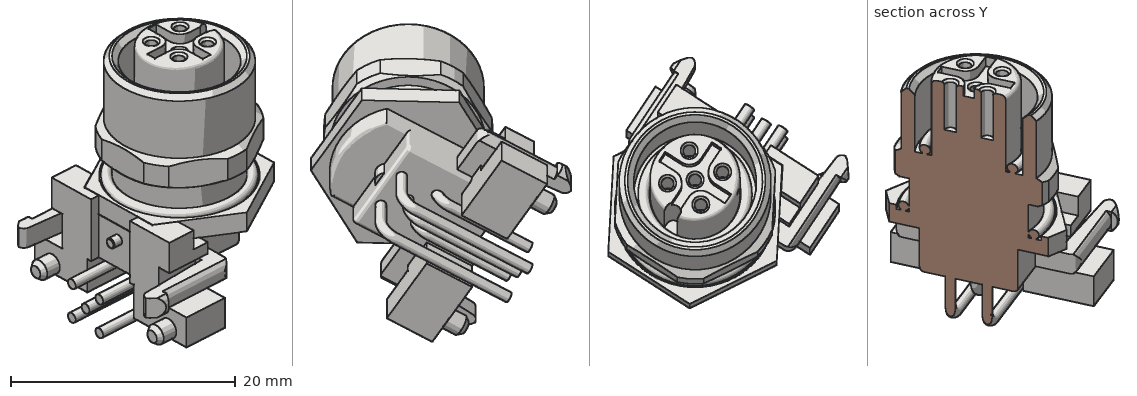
import cadquery as cq
import math


plate_across_flats = 15.0
plate_thickness = 2.0
total_depth = 19.49
plate_clearance = 0.05
seal_groove_radius = 7.15
seal_groove_depth = 0.45
seal_ring_radius = 6.5
ring_section_radius = 0.5

neck_radius = 6.01
collar_bottom = 3.0
collar_top = 6.0
collar_across_flats = 14.0
collar_radius = 7.5
collar_chamfer_angle = math.radians(30)
collar_upper_chamfer = 0.75
collar_lower_chamfer = 0.6
sleeve_radius = 6.75
sleeve_top = 12.5
sleeve_chamfer = 0.5
bore_radius = 5.45
bore_floor = collar_top
bore_chamfer = 0.55

insert_radius = 4.0
insert_top = 14.0
insert_edge_radius = 0.5
inner_ring_radius = 4.57
inner_ring_press = 0.05
contact_circle_radius = 2.5
contact_offset = contact_circle_radius / math.sqrt(2)
contact_hole_radius = 0.55
contact_hole_mouth_radius = 0.77
contact_hole_depth = 5.0
cross_width = 1.0
cross_depth = 1.0
cross_half_length = insert_radius - insert_edge_radius
cross_corner_radius = contact_offset - cross_width / 2
key_width = 1.38
key_tip = 2.85

housing_half_width = 4.75
housing_back_radius = 7.0
housing_front = -plate_across_flats / 2 - plate_clearance
shoulder_bottom = -4.0
housing_bottom = -6.5
housing_back = 2.95
housing_edge_radius = 0.5
housing_corner_radius = 0.3
rib_radius = 1.0
rib_reach = 0.35
rib_bottom = -5.5
stud_radius = 0.5
stud_z = -3.5
stud_length = 1.0
stud_chamfer = 0.08

block_front = -8.5
block_back = -3.75
block_upper_back = -5.5
block_half_width = 7.55
block_shelf_bottom = -3.2
block_waist_half_width = 6.2
foot_top = -6.85
foot_bottom = -10.0
foot_half_width = 9.75
window_half_width = 2.5
leg_gap_half_width = 2.97
peg_x = 7.47
peg_z = -9.0
peg_radius = 0.98
peg_end = -10.55
peg_chamfer_length = 0.5
peg_chamfer_radial = 0.37

arm_top = -4.0
arm_bottom = -6.05
arm_back = -2.2
arm_bridge_front = -4.0
arm_inner_root = 7.0
arm_inner_tip = 7.52
arm_outer = 8.87
arm_corner_radius = 0.9
arm_crown = 0.5
arm_crown_flat = 0.08
hook_outer = 9.37
hook_back = -10.1
hook_edge_back = -10.3
hook_edge_front = -10.65
arm_tip = plate_across_flats / 2 - total_depth
nose_start = -11.35
nose_x = 8.15
nose_bevel_x = 8.47
nose_bevel_y = -11.77

pin_radius = 0.5
pin_bend_radius = 1.5
pin_end = -11.58
pin_middle_z = -9.0

arc_middle_inset = 1 - math.sqrt(0.5)


def box(x_min, x_max, y_min, y_max, z_min, z_max):
    size = (x_max - x_min, y_max - y_min, z_max - z_min)
    return cq.Workplane("XY").box(*size, centered=False).translate((x_min, y_min, z_min))


def cylinder(radius, z_min, z_max):
    return cq.Workplane("XY").workplane(offset=z_min).circle(radius).extrude(z_max - z_min)


def rod_toward_front(x, z, radius, y_start, y_end):
    """Round rod along -Y."""
    rod = cq.Workplane("XZ", origin=(x, y_start, z)).circle(radius)
    return rod.extrude(y_start - y_end)


def hexagon(across_flats, z_min, z_max):
    """Hexagonal prism with corners on the X axis."""
    across_corners = across_flats / math.cos(math.pi / 6)
    return cq.Workplane("XY").workplane(offset=z_min).polygon(6, across_corners).extrude(z_max - z_min)


def ring(centre_radius, z):
    """Sealing ring of round section."""
    section = cq.Workplane("XZ", origin=(0, 0, z)).center(centre_radius, 0).circle(ring_section_radius)
    return section.revolve(360, (-centre_radius, 0), (-centre_radius, 1))


def both_sides(half):
    return half.union(half.mirror("YZ"))


def make_plate():
    plate = hexagon(plate_across_flats, -plate_thickness, 0)
    plate = plate.cut(cylinder(seal_groove_radius, -seal_groove_depth, 0))
    return plate.union(ring(seal_ring_radius, 0))


def make_collar():
    upper_drop = collar_upper_chamfer * math.tan(collar_chamfer_angle)
    lower_rise = collar_lower_chamfer * math.tan(collar_chamfer_angle)
    turned = (
        cq.Workplane("XZ")
        .moveTo(0, collar_bottom)
        .lineTo(collar_radius - collar_lower_chamfer, collar_bottom)
        .lineTo(collar_radius, collar_bottom + lower_rise)
        .lineTo(collar_radius, collar_top - upper_drop)
        .lineTo(collar_radius - collar_upper_chamfer, collar_top)
        .lineTo(0, collar_top)
        .close()
        .revolve(360, (0, 0), (0, 1))
    )
    return hexagon(collar_across_flats, collar_bottom, collar_top).intersect(turned)


def make_sleeve():
    sleeve = cylinder(sleeve_radius, collar_bottom, sleeve_top).faces(">Z").chamfer(sleeve_chamfer)
    sleeve = sleeve.union(cylinder(neck_radius, -plate_thickness, collar_bottom))
    sleeve = sleeve.union(make_collar())
    bore = cylinder(bore_radius, bore_floor, sleeve_top)
    mouth = (
        cq.Workplane("XY")
        .workplane(offset=sleeve_top - bore_chamfer)
        .circle(bore_radius)
        .workplane(offset=bore_chamfer)
        .circle(bore_radius + bore_chamfer)
        .loft()
    )
    return sleeve.cut(bore).cut(mouth)


def make_cross_slot():
    """Cross-shaped recess between the four outer contacts, with rounded inner corners."""
    reach = cross_half_length
    half = cross_width / 2
    floor = insert_top - cross_depth
    cross = box(-reach, reach, -half, half, floor, insert_top)
    cross = cross.union(box(-half, half, -reach, reach, floor, insert_top))
    inner_corners = cq.selectors.BoxSelector(
        (-cross_width, -cross_width, floor), (cross_width, cross_width, insert_top)
    )
    return cross.edges("|Z").edges(inner_corners).fillet(cross_corner_radius)


def contact_hole(x, y, top):
    """Blind contact hole with a countersunk mouth."""
    flare = contact_hole_mouth_radius - contact_hole_radius
    profile = (
        cq.Workplane("XZ")
        .moveTo(0, 0)
        .lineTo(contact_hole_mouth_radius, 0)
        .lineTo(contact_hole_radius, -flare)
        .lineTo(contact_hole_radius, -contact_hole_depth)
        .lineTo(0, -contact_hole_depth)
        .close()
    )
    return profile.revolve(360, (0, 0), (0, 1)).translate((x, y, top))


def make_key_groove():
    key_radius = key_width / 2
    key_centre = key_tip + key_radius
    groove = box(-key_radius, key_radius, key_centre, bore_radius, bore_floor, insert_top)
    round_end = cylinder(key_radius, bore_floor, insert_top).translate((0, key_centre, 0))
    return groove.union(round_end).intersect(cylinder(insert_radius, bore_floor, insert_top))


def make_insert():
    insert = cylinder(insert_radius, bore_floor, insert_top).faces(">Z").edges().fillet(insert_edge_radius)
    insert = insert.cut(make_cross_slot()).cut(make_key_groove())
    insert = insert.cut(contact_hole(0, 0, insert_top - cross_depth))
    for x in (-contact_offset, contact_offset):
        for y in (-contact_offset, contact_offset):
            insert = insert.cut(contact_hole(x, y, insert_top))
    seat = bore_floor + ring_section_radius - inner_ring_press
    return insert.union(ring(inner_ring_radius, seat))


def make_housing():
    half = housing_half_width
    arc_start = math.sqrt(housing_back_radius**2 - half**2)
    shoulder = (
        cq.Workplane("XY")
        .workplane(offset=shoulder_bottom)
        .moveTo(-half, housing_front)
        .lineTo(half, housing_front)
        .lineTo(half, arc_start)
        .threePointArc((0, housing_back_radius), (-half, arc_start))
        .close()
        .extrude(-shoulder_bottom - plate_thickness)
        .faces("<Z")
        .edges("not <Y")
        .fillet(housing_edge_radius)
    )
    body = box(-half, half, housing_front, housing_back, housing_bottom, -plate_thickness)
    body = body.edges("|Z and >Y").fillet(housing_corner_radius)
    body = body.faces("<Z").edges("|Y").fillet(housing_edge_radius)
    rib_centre = housing_back + rib_reach - rib_radius
    rib = cylinder(rib_radius, rib_bottom, shoulder_bottom).translate((0, rib_centre, 0))
    stud = rod_toward_front(0, stud_z, stud_radius, housing_front, housing_front - stud_length)
    stud = stud.faces("<Y").chamfer(stud_chamfer)
    return shoulder.union(body).union(rib).union(stud)


def make_block_half():
    """Mounting block on the +X side: shelf, waist and foot, with the board peg."""
    half = (
        cq.Workplane("XZ", origin=(0, block_back, 0))
        .moveTo(0, 0)
        .lineTo(block_half_width, 0)
        .lineTo(block_half_width, block_shelf_bottom)
        .lineTo(block_waist_half_width, block_shelf_bottom)
        .lineTo(block_waist_half_width, foot_top)
        .lineTo(foot_half_width, foot_top)
        .lineTo(foot_half_width, foot_bottom)
        .lineTo(leg_gap_half_width, foot_bottom)
        .lineTo(leg_gap_half_width, housing_bottom)
        .lineTo(0, housing_bottom)
        .close()
        .extrude(block_back - block_front)
    )
    step = box(0, block_half_width, block_upper_back, block_back, -plate_thickness, 0)
    window = box(0, window_half_width, block_front, housing_front, housing_bottom, 0)
    plate_pocket = hexagon(plate_across_flats + 2 * plate_clearance, -plate_thickness, 0)
    half = half.cut(step).cut(window).cut(plate_pocket)
    peg = rod_toward_front(peg_x, peg_z, peg_radius, block_front, peg_end)
    peg = peg.faces("<Y").chamfer(peg_chamfer_length, peg_chamfer_radial)
    return half.union(peg)


def crowned_bar(outer, y_min, y_max):
    """Bar along Y from the axis plane to a rounded outer side at +X."""
    middle = (arm_top + arm_bottom) / 2
    upper_half = (
        cq.Workplane("XZ", origin=(0, y_max, middle))
        .lineTo(outer, 0)
        .lineTo(outer, arm_crown_flat / 2)
        .tangentArcPoint((outer - arm_crown, arm_top - middle), relative=False)
        .lineTo(0, arm_top - middle)
        .close()
        .extrude(y_max - y_min)
    )
    return upper_half.union(upper_half.mirror("XY", (0, 0, middle)))


def make_snap_arm():
    """L-shaped snap arm on the +X side, tapered inside and hooked at its tip."""
    corner_inset = arm_corner_radius * arc_middle_inset
    outline = (
        cq.Workplane("XY")
        .workplane(offset=arm_bottom)
        .moveTo(0, arm_bridge_front)
        .lineTo(arm_inner_root, arm_bridge_front)
        .lineTo(arm_inner_tip, nose_start)
        .tangentArcPoint((nose_x, arm_tip), relative=False)
        .lineTo(nose_bevel_x, nose_bevel_y)
        .lineTo(hook_outer, hook_edge_front)
        .lineTo(hook_outer, hook_edge_back)
        .lineTo(arm_outer, hook_back)
        .lineTo(arm_outer, arm_back - arm_corner_radius)
        .threePointArc(
            (arm_outer - corner_inset, arm_back - corner_inset),
            (arm_outer - arm_corner_radius, arm_back),
        )
        .lineTo(0, arm_back)
        .close()
        .extrude(arm_top - arm_bottom)
    )
    crown = crowned_bar(arm_outer, hook_back, arm_back).union(crowned_bar(hook_outer, arm_tip, hook_back))
    return outline.intersect(crown)


def make_pin(x, y, z):
    """Round pin dropping from the housing at (x, y) and bent to leave toward -Y at height z."""
    inset = pin_bend_radius * arc_middle_inset
    path = (
        cq.Workplane("YZ", origin=(x, 0, 0))
        .moveTo(y, shoulder_bottom)
        .lineTo(y, z + pin_bend_radius)
        .threePointArc((y - inset, z + inset), (y - pin_bend_radius, z))
        .lineTo(pin_end, z)
    )
    return cq.Workplane("XY", origin=(x, y, shoulder_bottom)).circle(pin_radius).sweep(path)


def make_pins():
    pins = make_pin(0, 0, pin_middle_z)
    for x in (-contact_offset, contact_offset):
        for y in (-contact_offset, contact_offset):
            pins = pins.union(make_pin(x, y, pin_middle_z - y))
    return pins


result = make_plate().union(make_sleeve()).union(make_insert())
result = result.union(make_housing()).union(both_sides(make_block_half()))
result = result.union(both_sides(make_snap_arm())).union(make_pins())